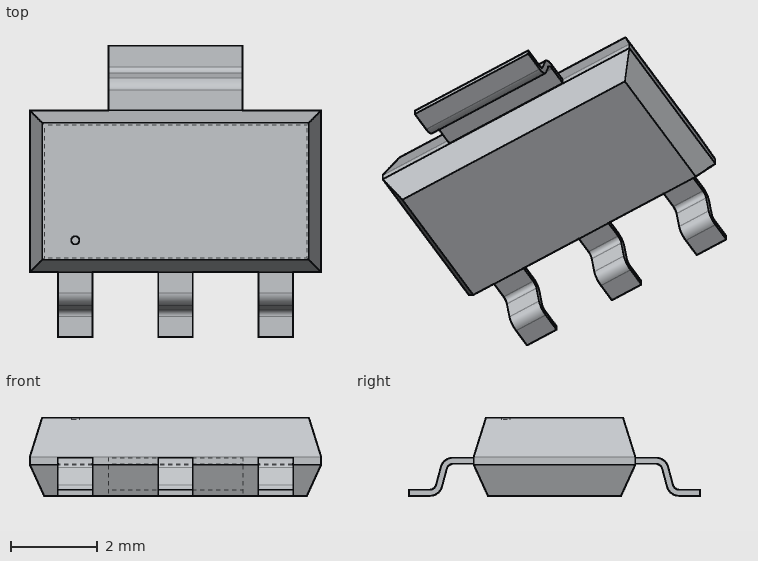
import cadquery as cq
import math

housing_length = 6.71
housing_width = 3.725
housing_height = 1.805
belt_bottom = 0.72
belt_top = 0.905
top_inset = 0.28
bottom_inset = 0.33

overall_width = 6.71
lead_thickness = 0.15
lead_angle = math.radians(75)
inner_radius = 0.15
outer_radius = inner_radius + lead_thickness
foot_length = 0.48
pin_width = 0.805
pin_pitch = 2.31
pin_count = 3
tab_width = 3.085

marker_diameter = 0.19
marker_depth = 0.035
marker_x = -pin_pitch
marker_y = -1.13


def tapered_block(start_z, end_z, inset):
    """Loft from the belt outline at start_z to an outline smaller by inset at end_z."""
    return (
        cq.Workplane("XY")
        .workplane(offset=start_z)
        .rect(housing_length, housing_width)
        .workplane(offset=end_z - start_z)
        .rect(housing_length - 2 * inset, housing_width - 2 * inset)
        .loft(ruled=True)
    )


def make_marker():
    return (
        cq.Workplane("XY")
        .workplane(offset=housing_height - marker_depth)
        .center(marker_x, marker_y)
        .circle(marker_diameter / 2)
        .extrude(marker_depth)
    )


def make_housing():
    belt = (
        cq.Workplane("XY")
        .workplane(offset=belt_bottom)
        .rect(housing_length, housing_width)
        .extrude(belt_top - belt_bottom)
    )
    upper = tapered_block(belt_top, housing_height, top_inset)
    lower = tapered_block(belt_bottom, 0, bottom_inset)
    return belt.union(upper).union(lower).cut(make_marker())


def make_lead(width, x_center):
    """A lead on the +Y side, bent down and out again, with its foot resting on Z = 0."""
    root_y = housing_width / 2
    tip_y = overall_width / 2
    shoulder_z = (belt_bottom + belt_top + lead_thickness) / 2

    foot_bend_y = tip_y - foot_length
    foot_bend_z = outer_radius
    shoulder_bend_z = shoulder_z - outer_radius
    radius_sum = inner_radius + outer_radius
    leg_drop = shoulder_bend_z - foot_bend_z + radius_sum * math.cos(lead_angle)
    leg_run = leg_drop / math.tan(lead_angle)
    shoulder_bend_y = foot_bend_y - radius_sum * math.sin(lead_angle) - leg_run

    def shoulder_point(radius, angle):
        return (
            shoulder_bend_y + radius * math.sin(angle),
            shoulder_bend_z + radius * math.cos(angle),
        )

    def foot_point(radius, angle):
        return (
            foot_bend_y - radius * math.sin(angle),
            foot_bend_z - radius * math.cos(angle),
        )

    half_angle = lead_angle / 2
    return (
        cq.Workplane("YZ")
        .workplane(offset=x_center - width / 2)
        .moveTo(root_y, shoulder_z)
        .lineTo(*shoulder_point(outer_radius, 0))
        .threePointArc(shoulder_point(outer_radius, half_angle), shoulder_point(outer_radius, lead_angle))
        .lineTo(*foot_point(inner_radius, lead_angle))
        .threePointArc(foot_point(inner_radius, half_angle), foot_point(inner_radius, 0))
        .lineTo(tip_y, lead_thickness)
        .lineTo(tip_y, 0)
        .lineTo(*foot_point(outer_radius, 0))
        .threePointArc(foot_point(outer_radius, half_angle), foot_point(outer_radius, lead_angle))
        .lineTo(*shoulder_point(inner_radius, lead_angle))
        .threePointArc(shoulder_point(inner_radius, half_angle), shoulder_point(inner_radius, 0))
        .lineTo(root_y, shoulder_z - lead_thickness)
        .close()
        .extrude(width)
    )


def make_pin(x_center):
    """A narrow lead on the -Y side."""
    return make_lead(pin_width, x_center).mirror("XZ")


housing = make_housing()
marker = make_marker()
tab = make_lead(tab_width, 0)
pins = []
for index in range(pin_count):
    pin_x = (index - (pin_count - 1) / 2) * pin_pitch
    pins.append(make_pin(pin_x).val())

result = cq.Compound.makeCompound([housing.val(), marker.val(), tab.val(), *pins])